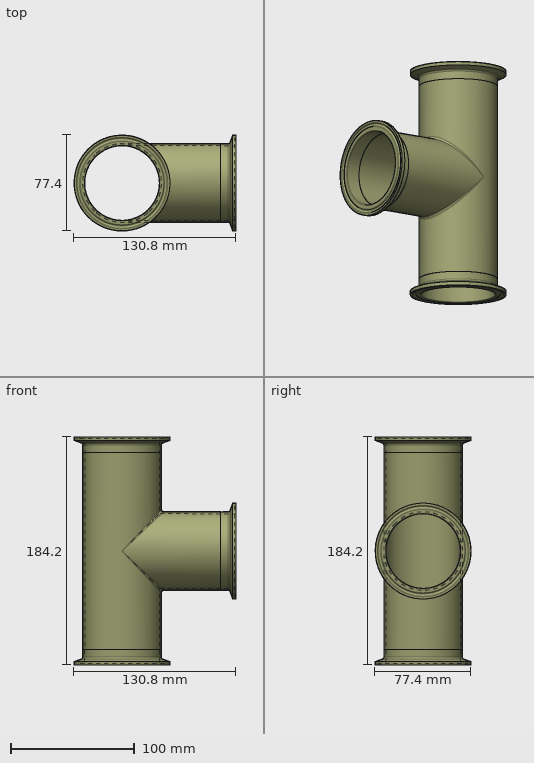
import cadquery as cq
import math

tube_diameter = 63.5
wall_thickness = 1.65
tube_radius = tube_diameter / 2
bore_radius = tube_radius - wall_thickness

overall_height = 184.2
ferrule_length = 12.7
end_distance = overall_height / 2
joint_distance = end_distance - ferrule_length
crotch_fillet = 2.0

rim_diameter = 77.4
rim_radius = rim_diameter / 2
rim_thickness = 2.85
clamp_angle = 20
neck_fillet = 1.6
groove_circle_radius = 35.3
groove_section_radius = 1.25
face_edge_fillet = 0.4


def make_run(radius):
    """Straight cylinder of the main run, centred on the origin along Z."""
    run_start = cq.Workplane("XY").workplane(offset=-joint_distance)
    return run_start.circle(radius).extrude(2 * joint_distance)


def make_branch(radius):
    """Cylinder of the branch, from the run axis out along +X."""
    return cq.Workplane("YZ").circle(radius).extrude(joint_distance)


def make_tee():
    """Tee of two equal tubes, blended along the outer intersection and bored through."""
    body = make_run(tube_radius).union(make_branch(tube_radius))
    body = body.edges("not(%CIRCLE or %LINE)").fillet(crotch_fillet)
    return body.cut(make_run(bore_radius)).cut(make_branch(bore_radius))


def make_groove_cutter():
    """Ring that cuts the gasket groove: a round bottom with a rounded lip on each side."""
    lip_centre_distance = groove_section_radius + face_edge_fillet
    lip_offset = math.sqrt(lip_centre_distance**2 - face_edge_fillet**2)
    lip_share = groove_section_radius / lip_centre_distance
    meet_offset = lip_offset * lip_share
    meet_depth = face_edge_fillet * lip_share
    return (
        cq.Workplane("XZ")
        .center(groove_circle_radius, ferrule_length)
        .moveTo(-lip_offset, 0)
        .radiusArc((-meet_offset, -meet_depth), face_edge_fillet)
        .threePointArc((0, -groove_section_radius), (meet_offset, -meet_depth))
        .radiusArc((lip_offset, 0), face_edge_fillet)
        .close()
        .revolve(360, (-groove_circle_radius, 0), (-groove_circle_radius, 1))
    )


def make_ferrule():
    """Clamp ferrule standing on the XY plane, its sealing face at the top."""
    rim_bottom = ferrule_length - rim_thickness
    clamp_drop = (rim_radius - tube_radius) * math.tan(math.radians(clamp_angle))
    neck_top = rim_bottom - clamp_drop
    ferrule = (
        cq.Workplane("XZ")
        .moveTo(bore_radius, 0)
        .lineTo(tube_radius, 0)
        .lineTo(tube_radius, neck_top)
        .lineTo(rim_radius, rim_bottom)
        .lineTo(rim_radius, ferrule_length)
        .lineTo(bore_radius, ferrule_length)
        .close()
        .revolve(360, (0, 0), (0, 1))
    )
    smallest_circle = cq.selectors.RadiusNthSelector(0)
    ferrule = ferrule.faces("%CONE").edges(smallest_circle).fillet(neck_fillet)
    ferrule = ferrule.faces(">Z").edges(smallest_circle).fillet(face_edge_fillet)
    return ferrule.cut(make_groove_cutter())


tee = make_tee()

ferrule_turns = [0, 90, 180]
ferrules = [
    make_ferrule().translate((0, 0, joint_distance)).rotate((0, 0, 0), (0, 1, 0), turn)
    for turn in ferrule_turns
]

bodies = [tee.solids().val()]
for ferrule in ferrules:
    bodies.append(ferrule.solids().val())
result = cq.Compound.makeCompound(bodies)